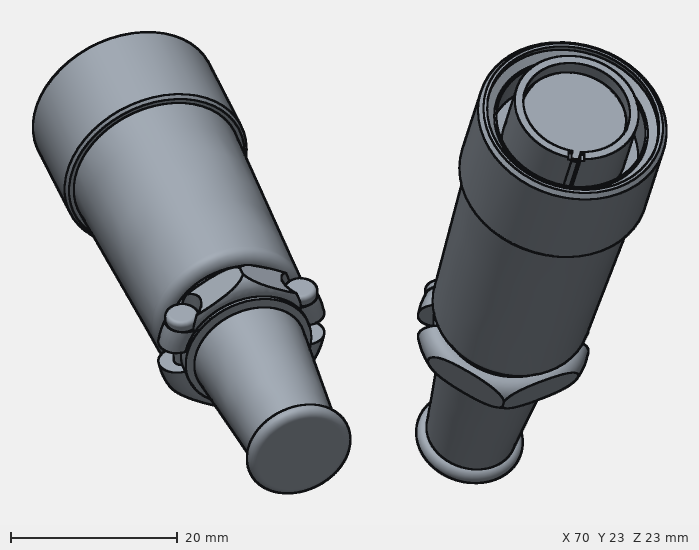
import cadquery as cq
import math

total_length = 70.0

collar_start = 2.25
collar_end = 15.25
collar_diameter = 23.0
collar_radius = collar_diameter / 2
front_chamfer = 0.55
rear_chamfer = 0.4

mouth_radius = 10.5
mouth_depth = 0.7
cone_length = 0.7
cone_end_radius = 9.4
bore_radius = 9.1
bore_floor = 8.4

plug_radius = 7.55
socket_radius = 6.5
socket_depth = 1.75
insert_radius = 6.4
insert_gap_depth = 0.35
key_width = 1.05
key_step_width = 1.95
key_step_depth = 0.4
key_step_radius = 6.65

body_start_radius = 10.5
body_end_radius = 9.6
body_end = 43.55
body_rounding = 1.55
neck_diameter = 15.9
neck_radius = neck_diameter / 2
neck_end = 50.0

groove_radius = 6.0
boot_start = 50.4
boot_start_radius = 7.0
boot_end_radius = 5.45
bead_width = 2.1

clamp_center = 47.25
clamp_width = 4.4
clamp_radius = 10.5
ridge_height = 10.4
roof_angle = 30.0
clamp_gap = 3.1

screw_offset = 7.5
shank_diameter = 2.0
head_radius = 2.0
head_height = 1.25
head_rounding = 0.55
spotface_radius = 2.3
spotface_height = 4.55


def revolve_about_x(profile):
    return profile.close().revolve(360, (0, 0, 0), (1, 0, 0))


def make_collar_and_body():
    rounding_start = body_end - body_rounding
    rounding_mid = body_rounding * math.sqrt(0.5)
    profile = (
        cq.Workplane("XY")
        .moveTo(collar_start, 0)
        .lineTo(collar_start, collar_radius - front_chamfer)
        .lineTo(collar_start + front_chamfer, collar_radius)
        .lineTo(collar_end - rear_chamfer, collar_radius)
        .lineTo(collar_end, collar_radius - rear_chamfer)
        .lineTo(collar_end, body_start_radius)
        .lineTo(rounding_start, body_end_radius)
        .threePointArc(
            (rounding_start + rounding_mid, body_end_radius - body_rounding + rounding_mid),
            (body_end, body_end_radius - body_rounding),
        )
        .lineTo(body_end, neck_radius)
        .lineTo(neck_end, neck_radius)
        .lineTo(neck_end, 0)
    )
    return revolve_about_x(profile)


def make_collar_bore():
    cone_start = collar_start + mouth_depth
    cone_end = cone_start + cone_length
    profile = (
        cq.Workplane("XY")
        .moveTo(collar_start, 0)
        .lineTo(collar_start, mouth_radius)
        .lineTo(cone_start, mouth_radius)
        .lineTo(cone_end, cone_end_radius)
        .lineTo(cone_end, bore_radius)
        .lineTo(bore_floor, bore_radius)
        .lineTo(bore_floor, 0)
    )
    return revolve_about_x(profile)


def make_plug():
    along_x = cq.Workplane("YZ")
    plug = along_x.circle(plug_radius).extrude(bore_floor)
    socket = along_x.circle(socket_radius).extrude(socket_depth)
    gap = (
        along_x.workplane(offset=socket_depth)
        .circle(socket_radius)
        .circle(insert_radius)
        .extrude(insert_gap_depth)
    )
    plug = plug.cut(socket).cut(gap)
    key_slots = (
        (key_width, socket_radius, bore_floor),
        (key_step_width, key_step_radius, key_step_depth),
    )
    for width, inner_radius, depth in key_slots:
        ring = along_x.circle(plug_radius).circle(inner_radius).extrude(depth)
        slot = cq.Workplane("XY").box(depth, width, plug_radius, centered=(False, True, False))
        plug = plug.cut(ring.intersect(slot.translate((0, 0, -plug_radius))))
    return plug


def make_boot():
    bead_start = total_length - bead_width
    bead_rounding = bead_width / 2
    profile = (
        cq.Workplane("XY")
        .moveTo(neck_end, 0)
        .lineTo(neck_end, groove_radius)
        .lineTo(boot_start, groove_radius)
        .lineTo(boot_start, boot_start_radius)
        .lineTo(bead_start, boot_end_radius)
        .threePointArc(
            (bead_start + bead_rounding, boot_end_radius + bead_rounding),
            (total_length, boot_end_radius),
        )
        .lineTo(total_length, 0)
    )
    return revolve_about_x(profile)


def make_clamp():
    half_width = clamp_width / 2
    flank_radius = clamp_radius - half_width
    ring = revolve_about_x(
        cq.Workplane("XY")
        .moveTo(clamp_center - half_width, 0)
        .lineTo(clamp_center - half_width, flank_radius)
        .threePointArc((clamp_center, clamp_radius), (clamp_center + half_width, flank_radius))
        .lineTo(clamp_center + half_width, 0)
    )

    eave_height = ridge_height - clamp_radius * math.tan(math.radians(roof_angle))
    roofed_block = (
        cq.Workplane("YZ", origin=(clamp_center, 0, 0))
        .moveTo(0, ridge_height)
        .lineTo(clamp_radius, eave_height)
        .lineTo(clamp_radius, -eave_height)
        .lineTo(0, -ridge_height)
        .lineTo(-clamp_radius, -eave_height)
        .lineTo(-clamp_radius, eave_height)
        .close()
        .extrude(half_width, both=True)
    )
    gap = cq.Workplane("XY").box(clamp_width, 2 * clamp_radius, clamp_gap)
    return ring.intersect(roofed_block).cut(gap.translate((clamp_center, 0, 0)))


def screw_plane(side, height):
    return cq.Workplane("XY", origin=(clamp_center, side * screw_offset, height))


def make_spotface(side):
    return screw_plane(side, spotface_height).circle(spotface_radius).extrude(clamp_radius)


def make_screw(side):
    head = screw_plane(side, spotface_height).circle(head_radius).extrude(head_height)
    head = head.faces(">Z").edges().fillet(head_rounding)
    shank = screw_plane(side, -clamp_gap).circle(shank_diameter / 2).extrude(spotface_height + clamp_gap)
    return head.union(shank)


result = (
    make_collar_and_body()
    .cut(make_collar_bore())
    .union(make_plug())
    .union(make_boot())
    .union(make_clamp())
)
for side in (-1, 1):
    result = result.cut(make_spotface(side)).union(make_screw(side))